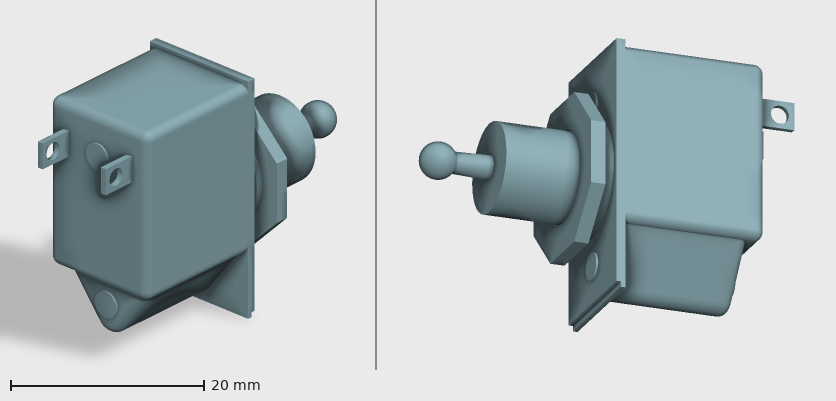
import cadquery as cq
import math


body_x = -0.1
body_width = 13.75
box_depth = 15.5
box_top = 12.93
box_bottom = -6.55
edge_radius = 1.0
flange_height = 27.5
flange_thickness = 0.5

wedge_depth = 14.0
wedge_tip_z = -12.9
wedge_tip_radius = 2.0
wedge_top_half_width = 6.6
wedge_top_z = box_bottom + edge_radius

rivet_diameter = 3.0
rivet_head_height = 0.25
upper_rivet = (body_x, 8.3)
lower_rivet = (body_x - 0.1, -9.48)

cover_height = 26.92
cover_thickness = 0.48
cover_top = cover_height / 2
cover_face_y = flange_thickness + cover_thickness
dome_diameter = 12.53
dome_height = 0.9
dome_side_radius = 1.0
bushing_diameter = 9.8
bushing_end_y = 12.4

collar_diameter = dome_diameter
collar_thickness = 0.85
collar_start_y = cover_face_y + dome_height
nut_bore_diameter = 10.0
nut_across_flats = 16.57
nut_thickness = 1.6
nut_start_y = collar_start_y + collar_thickness

ball_diameter = 4.0
lever_length = 7.7
shank_base_radius = 1.3
shank_end_radius = 1.1

terminal_length = 4.05
terminal_height = 3.0
terminal_thickness = 0.67
terminal_pitch = 8.8
terminal_z = 8.35
terminal_hole_diameter = 2.0
terminal_hole_distance = 2.45


def cylinder(diameter, start_y, length, x=0, z=0):
    """Solid cylinder along +Y, starting at start_y."""
    axis = cq.Vector(0, 1, 0)
    return cq.Workplane(cq.Solid.makeCylinder(diameter / 2, length, cq.Vector(x, start_y, z), axis))


def plate(height, start_y, thickness):
    """Upright plate as wide as the housing, with its top level with the cover."""
    return (
        cq.Workplane("XY")
        .box(body_width, thickness, height, centered=(True, False, False))
        .translate((body_x, start_y, cover_top - height))
    )


def make_box():
    """Main housing box, rounded on every edge except those at the flange."""
    return (
        cq.Workplane("XY")
        .box(body_width, box_depth, box_top - box_bottom, centered=(True, False, False))
        .translate((body_x, -box_depth, box_bottom))
        .edges("|Y or <Y")
        .fillet(edge_radius)
    )


def make_wedge():
    """Triangular block whose sides run tangent into a round tip."""
    centre_z = wedge_tip_z + wedge_tip_radius
    rise = wedge_top_z - centre_z
    corner_distance = math.hypot(wedge_top_half_width, rise)
    corner_angle = math.atan2(rise, wedge_top_half_width)
    tangent_angle = corner_angle - math.acos(wedge_tip_radius / corner_distance)
    tangent_x = wedge_tip_radius * math.cos(tangent_angle)
    tangent_z = centre_z + wedge_tip_radius * math.sin(tangent_angle)
    return (
        cq.Workplane("XZ")
        .moveTo(-wedge_top_half_width, wedge_top_z)
        .lineTo(wedge_top_half_width, wedge_top_z)
        .lineTo(tangent_x, tangent_z)
        .threePointArc((0, wedge_tip_z), (-tangent_x, tangent_z))
        .close()
        .extrude(wedge_depth)
        .faces("<Y")
        .edges()
        .fillet(edge_radius)
        .translate((body_x, 0, 0))
    )


def rivet_head(position, start_y):
    x, z = position
    return cylinder(rivet_diameter, start_y, rivet_head_height, x, z)


def make_housing():
    upper_head = rivet_head(upper_rivet, -box_depth - rivet_head_height)
    lower_head = rivet_head(lower_rivet, -wedge_depth - rivet_head_height)
    return make_box().union(make_wedge()).union(upper_head).union(lower_head)


def make_flange():
    return plate(flange_height, 0, flange_thickness)


def make_dome():
    """Round step with a convex side that rises square from the cover."""
    base_radius = dome_diameter / 2
    inset = dome_side_radius - math.sqrt(dome_side_radius**2 - dome_height**2)
    half_angle = math.asin(dome_height / dome_side_radius) / 2
    arc_middle_x = base_radius - dome_side_radius * (1 - math.cos(half_angle))
    arc_middle_y = dome_side_radius * math.sin(half_angle)
    return (
        cq.Workplane("XY")
        .lineTo(base_radius, 0)
        .threePointArc((arc_middle_x, arc_middle_y), (base_radius - inset, dome_height))
        .lineTo(0, dome_height)
        .close()
        .revolve(360, (0, 0, 0), (0, 1, 0))
        .translate((0, cover_face_y, 0))
    )


def make_cover():
    """Cover plate with its rivet heads, the dome and the bushing."""
    cover = plate(cover_height, flange_thickness, cover_thickness)
    bushing = cylinder(bushing_diameter, cover_face_y, bushing_end_y - cover_face_y)
    cover = cover.union(make_dome()).union(bushing)
    for position in (upper_rivet, lower_rivet):
        cover = cover.union(rivet_head(position, cover_face_y))
    return cover


def make_nut():
    """Octagonal nut with flats facing along X and Z, a round collar and a plain bore."""
    sides = 8
    half_step = 180 / sides
    corner_diameter = nut_across_flats / math.cos(math.radians(half_step))
    nut = (
        cq.Workplane("XZ")
        .polygon(sides, corner_diameter)
        .extrude(-nut_thickness)
        .rotate((0, 0, 0), (0, 1, 0), half_step)
        .translate((0, nut_start_y, 0))
    )
    collar = cylinder(collar_diameter, collar_start_y, collar_thickness)
    bore = cylinder(nut_bore_diameter, collar_start_y, collar_thickness + nut_thickness)
    return nut.union(collar).cut(bore)


def make_lever():
    """Tapered shank standing on the bushing end, with a ball at its tip."""
    ball_distance = lever_length - ball_diameter / 2
    shank = cq.Solid.makeCone(
        shank_base_radius, shank_end_radius, ball_distance, cq.Vector(0, bushing_end_y, 0), cq.Vector(0, 1, 0)
    )
    ball = cq.Workplane("XY").sphere(ball_diameter / 2).translate((0, bushing_end_y + ball_distance, 0))
    return cq.Workplane(shank).union(ball)


def make_terminal(x):
    """Flat tab with a cross hole, standing on the end of the housing box."""
    hole = (
        cq.Workplane("YZ")
        .center(-box_depth - terminal_hole_distance, terminal_z)
        .circle(terminal_hole_diameter / 2)
        .extrude(terminal_thickness / 2, both=True)
        .translate((x, 0, 0))
    )
    return (
        cq.Workplane("XY")
        .box(terminal_thickness, terminal_length, terminal_height)
        .translate((x, -box_depth - terminal_length / 2, terminal_z))
        .cut(hole)
    )


housing = make_housing()
flange = make_flange()
cover = make_cover()
nut = make_nut()
lever = make_lever()
terminals = [make_terminal(body_x + side * terminal_pitch / 2) for side in (-1, 1)]

result = cq.Compound.makeCompound([
    housing.val(),
    flange.val(),
    cover.val(),
    nut.val(),
    lever.val(),
    *[terminal.val() for terminal in terminals],
])